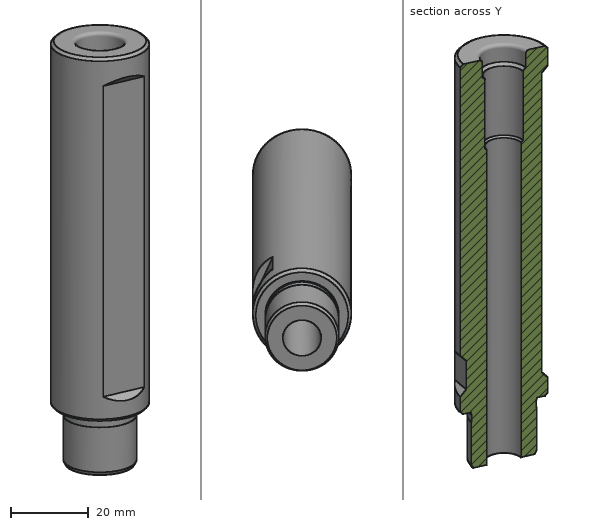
import cadquery as cq

total_length = 116.0
body_diameter = 25.4
body_chamfer = 0.8

spigot_length = 16.0
spigot_diameter = 19.0
spigot_chamfer_height = 1.0
spigot_chamfer_width = 0.6
neck_diameter = 18.9
neck_offset = 2.7
neck_collar_height = 0.6

bore_diameter = 9.9
counterbore_diameter = 12.5
counterbore_depth = 5.0
mouth_radius = 1.0
thread_bore_diameter = 10.9
thread_bore_depth = 25.5

flat_depth = 1.7
flat_bottom = 23.0
short_flat_top = 31.1
long_flat_top = 108.3

body_radius = body_diameter / 2
spigot_radius = spigot_diameter / 2
neck_radius = neck_diameter / 2


def make_shaft():
    """Revolve the outer profile about Z."""
    profile = [
        (0, 0),
        (spigot_radius - spigot_chamfer_width, 0),
        (spigot_radius, spigot_chamfer_height),
        (spigot_radius, spigot_length - neck_offset),
        (neck_radius, spigot_length - neck_offset),
        (neck_radius, spigot_length - neck_collar_height),
        (spigot_radius, spigot_length - neck_collar_height),
        (spigot_radius, spigot_length),
        (body_radius - body_chamfer, spigot_length),
        (body_radius, spigot_length + body_chamfer),
        (body_radius, total_length - body_chamfer),
        (body_radius - body_chamfer, total_length),
        (0, total_length),
    ]
    return cq.Workplane("XZ").polyline(profile).close().revolve(360, (0, 0), (0, 1))


def make_bore():
    """Through bore, widening to a threading bore and a counterbore with a rounded mouth."""
    bore_radius = bore_diameter / 2
    thread_radius = thread_bore_diameter / 2
    counterbore_radius = counterbore_diameter / 2
    thread_floor = total_length - thread_bore_depth
    counterbore_floor = total_length - counterbore_depth
    return (
        cq.Workplane("XZ")
        .lineTo(bore_radius, 0)
        .lineTo(bore_radius, thread_floor - (thread_radius - bore_radius))
        .lineTo(thread_radius, thread_floor)
        .lineTo(thread_radius, counterbore_floor - (counterbore_radius - thread_radius))
        .lineTo(counterbore_radius, counterbore_floor)
        .lineTo(counterbore_radius, total_length - mouth_radius)
        .radiusArc((counterbore_radius + mouth_radius, total_length), mouth_radius)
        .lineTo(0, total_length)
        .close()
        .revolve(360, (0, 0), (0, 1))
    )


def make_flat_cutter(side, top):
    """Trapezoidal cutter for a flat on the +X (side = 1) or -X (side = -1) face."""
    floor_x = side * (body_radius - flat_depth)
    outer_x = side * body_radius
    profile = [
        (floor_x, flat_bottom),
        (outer_x, flat_bottom - flat_depth),
        (outer_x, top + flat_depth),
        (floor_x, top),
    ]
    return cq.Workplane("XZ").polyline(profile).close().extrude(body_radius, both=True)


result = make_shaft().cut(make_bore())
for side, top in ((-1, short_flat_top), (1, long_flat_top)):
    result = result.cut(make_flat_cutter(side, top))